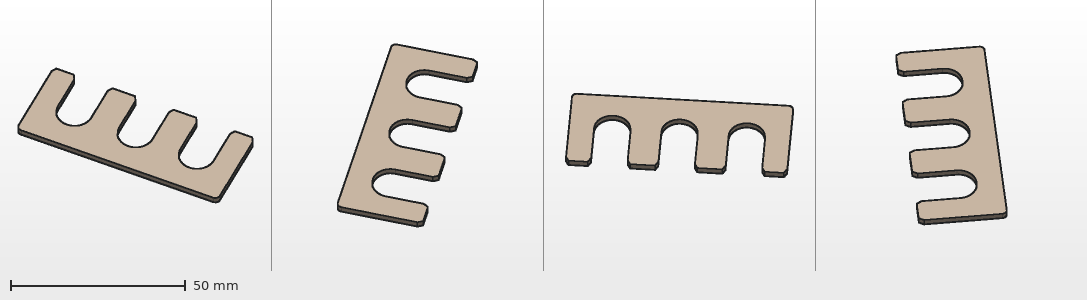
import cadquery as cq
import math

length = 63.5
width = 25.4
thickness = 2.0
corner_radius = 1.45

slot_count = 3
slot_pitch = 19.3
slot_width = 10.5
slot_depth = 17.9

taper_length = 1.45
taper_angle = math.radians(30)
taper_inset = taper_length * math.tan(taper_angle)

slot_radius = slot_width / 2
tip_y = width / 2
taper_start_y = tip_y - taper_length
slot_bottom_y = tip_y - slot_depth
slot_arc_y = slot_bottom_y + slot_radius


def make_plate():
    """Flat plate with rounded rear corners and tapered outer finger corners."""
    half_length = length / 2
    outline = [
        (-half_length, -width / 2),
        (half_length, -width / 2),
        (half_length, taper_start_y),
        (half_length - taper_inset, tip_y),
        (-half_length + taper_inset, tip_y),
        (-half_length, taper_start_y),
    ]
    plate = cq.Workplane("XY").polyline(outline).close().extrude(thickness)
    return plate.edges("|Z and <Y").fillet(corner_radius)


def make_slot(center_x):
    """Round-bottomed slot whose mouth flares at the finger tips."""
    left = center_x - slot_radius
    right = center_x + slot_radius
    return (
        cq.Workplane("XY")
        .moveTo(left - taper_inset, tip_y)
        .lineTo(left, taper_start_y)
        .lineTo(left, slot_arc_y)
        .threePointArc((center_x, slot_bottom_y), (right, slot_arc_y))
        .lineTo(right, taper_start_y)
        .lineTo(right + taper_inset, tip_y)
        .close()
        .extrude(thickness)
    )


result = make_plate()
for index in range(slot_count):
    slot_x = (index - (slot_count - 1) / 2) * slot_pitch
    result = result.cut(make_slot(slot_x))